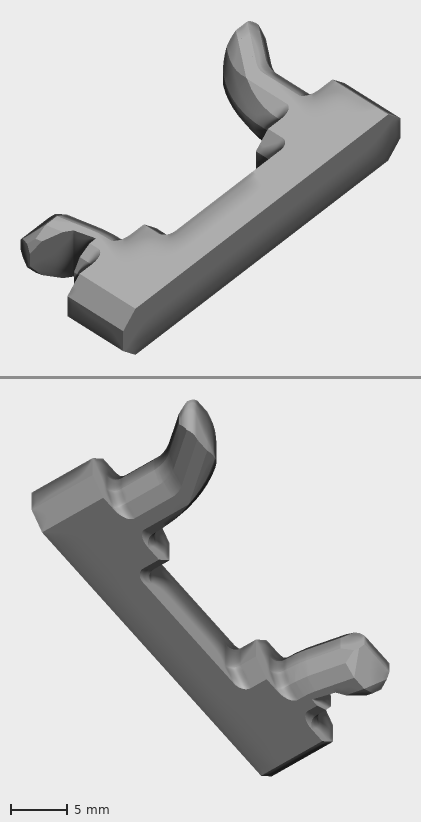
import cadquery as cq
import math

LENGTH = 36.8
THICKNESS = 5.7
BODY_DEPTH = 6.7
END_CHAMFER = 1.62
NOTCH_DEPTH = 2.65
NOTCH_LENGTH = 13.25
ROOT_RADIUS = 0.92
ROOT_LENGTH = 0.95

ROD_SIDES = 12
FACE_STEP = 360 / ROD_SIDES
FIRST_FACE_TURN = 60


HOOK_REACH = 10.6
HOOK_BEND_X = -5.78
HOOK_SLOPE = 0.82
HOOK_UPPER_RADII = {0: 3.68, 30: 3.68, 60: 3.68}
HOOK_LOWER_RADII = {0: 11.78, 30: 15.1}
HOOK_TIP_RADIUS = 0.92
HOOK_BACK_RADIUS = 4.4

CATCH_REACH = 8.4
CATCH_BEND_X = -2.17
CATCH_SLOPE = -0.21
CATCH_UPPER_RADII = {0: 11.05, 30: 11.05, 60: 11.05}
CATCH_LOWER_RADII = {}
CATCH_TAPER = 1.95
CATCH_TIP_HALF_WIDTHS = {0: 1.9, 60: 1.8, -60: 1.8, 90: 0.63}
STUB_LENGTH = 1.95
GAP_TOP_Y = -12.45
GAP_KNEE = (-4.12, -13.03)

HALF_LENGTH = LENGTH / 2
HALF_THICKNESS = THICKNESS / 2
POST_Y = (HALF_LENGTH + NOTCH_LENGTH / 2) / 2
POST_HALF_LENGTH = (HALF_LENGTH - NOTCH_LENGTH / 2) / 2
DIAGONAL = math.sqrt(0.5)
ARM_OVERRUN = 5.52


def across_plane(angle):
    """Sketch plane through the X axis; its second axis is Y turned by angle about X."""
    turn = math.radians(angle)
    return cq.Plane((0, 0, 0), (1, 0, 0), (0, -math.sin(turn), math.cos(turn)))


def flared_slab(half_width, angle, root_x, front_x):
    """Slab centred on the X axis whose two sides flare out into the wall at root_x."""
    wide = half_width + ROOT_RADIUS
    flare_x = root_x - ROOT_RADIUS
    mid = ROOT_RADIUS * DIAGONAL
    sketch = (
        cq.Workplane(across_plane(angle))
        .moveTo(front_x, half_width)
        .lineTo(flare_x, half_width)
        .threePointArc((flare_x + mid, wide - mid), (root_x, wide))
        .lineTo(root_x, -wide)
        .threePointArc((flare_x + mid, mid - wide), (flare_x, -half_width))
        .lineTo(front_x, -half_width)
        .close()
    )
    return sketch.extrude(LENGTH, both=True)


def bent_slab(angle, bend_x, slope, top_radius, bottom_radius, front_x):
    """Slab with parallel sides that changes direction at bend_x, rounded on each side."""
    half = HALF_THICKNESS
    sideways = math.cos(math.radians(angle))
    rise = slope * sideways * (bend_x - front_x)
    slab = (
        cq.Workplane(across_plane(angle))
        .polyline([
            (BODY_DEPTH, half), (bend_x, half), (front_x, half + rise),
            (front_x, rise - half), (bend_x, -half), (BODY_DEPTH, -half),
        ])
        .close()
        .extrude(LENGTH, both=True)
    )
    normal = cq.Vector(0, sideways, math.sin(math.radians(angle)))
    for side, radius in ((half, top_radius), (-half, bottom_radius)):
        if radius:
            spot = normal * side + cq.Vector(bend_x, 0, 0)
            slab = slab.edges(cq.NearestToPointSelector(spot.toTuple())).fillet(radius)
    return slab


def tapered_slab(angle, tip_half_width, tip_x, taper_x):
    """Slab that is as wide as the rod at taper_x and narrows steadily to its tip."""
    spread = (HALF_THICKNESS - tip_half_width) / (taper_x - tip_x)
    root_half_width = tip_half_width - spread * tip_x
    return (
        cq.Workplane(across_plane(angle))
        .polyline([
            (tip_x, tip_half_width), (0, root_half_width),
            (0, -root_half_width), (tip_x, -tip_half_width),
        ])
        .close()
        .extrude(LENGTH, both=True)
    )


def rod(centre_y, bend_x, slope, upper_radii, lower_radii, front_x):
    """Twelve-sided rod with a flared root, standing on the X = 0 face."""
    solid = cq.Workplane("XY").box(LENGTH, LENGTH, THICKNESS)
    for step in range(ROD_SIDES // 2):
        angle = FACE_STEP * step - FIRST_FACE_TURN
        turn = abs(angle)
        straight = flared_slab(HALF_THICKNESS, angle, 0, -ROOT_LENGTH)
        bent = bent_slab(angle, bend_x, slope, upper_radii.get(turn), lower_radii.get(turn), front_x)
        solid = solid.intersect(straight.union(bent))
    return solid.translate((0, centre_y, 0))


def post(centre_y):
    """End block with 45 degree edges, flared into the floor of the notch."""
    bevel_distance = (POST_HALF_LENGTH + HALF_THICKNESS - END_CHAMFER) * DIAGONAL
    solid = flared_slab(POST_HALF_LENGTH, 0, NOTCH_DEPTH, 0)
    for angle in (45, -45):
        solid = solid.intersect(flared_slab(bevel_distance, angle, NOTCH_DEPTH, 0))
    return solid.translate((0, centre_y, 0))


def body():
    """Bar with bevelled ends and a notch between its two posts."""
    envelope = (
        cq.Workplane("XY")
        .box(BODY_DEPTH, LENGTH, THICKNESS, centered=(False, True, True))
        .edges("|X")
        .chamfer(END_CHAMFER)
    )
    plate = (
        cq.Workplane("XY", origin=(NOTCH_DEPTH, 0, 0))
        .box(BODY_DEPTH - NOTCH_DEPTH, LENGTH, THICKNESS, centered=(False, True, True))
    )
    blank = plate.union(post(POST_Y)).union(post(-POST_Y))
    return envelope.intersect(blank)


def hook():
    """Long arm that bends towards +Y and ends in a rounded tip."""
    lean = math.atan(HOOK_SLOPE)
    tip_x = HOOK_TIP_RADIUS - HOOK_REACH
    back_x = HOOK_BACK_RADIUS - HOOK_REACH
    upper_side_y = POST_Y + HALF_THICKNESS + HOOK_SLOPE * (HOOK_BEND_X - tip_x)
    lower_side_y = POST_Y - HALF_THICKNESS + HOOK_SLOPE * (HOOK_BEND_X - back_x)
    tip_y = upper_side_y - HOOK_TIP_RADIUS / math.cos(lean)
    back_y = lower_side_y + HOOK_BACK_RADIUS / math.cos(lean)

    def on_back(angle):
        return (back_x - HOOK_BACK_RADIUS * math.cos(angle), back_y - HOOK_BACK_RADIUS * math.sin(angle))

    back_sweep = math.pi / 2 - lean
    back_end = on_back(back_sweep)
    trim = (
        cq.Workplane("XY", origin=(0, 0, -HALF_THICKNESS))
        .moveTo(*back_end)
        .threePointArc(on_back(back_sweep / 2), on_back(0))
        .lineTo(-HOOK_REACH, tip_y)
        .threePointArc(
            (tip_x - HOOK_TIP_RADIUS * DIAGONAL, tip_y + HOOK_TIP_RADIUS * DIAGONAL),
            (tip_x, tip_y + HOOK_TIP_RADIUS),
        )
        .lineTo(BODY_DEPTH, tip_y + HOOK_TIP_RADIUS)
        .lineTo(BODY_DEPTH, 0)
        .lineTo(back_end[0], 0)
        .close()
        .extrude(THICKNESS)
    )
    front_x = -HOOK_REACH - ARM_OVERRUN
    arm = rod(POST_Y, HOOK_BEND_X, HOOK_SLOPE, HOOK_UPPER_RADII, HOOK_LOWER_RADII, front_x)
    return arm.intersect(trim)


def catch():
    """Short arm with a tapered tip, cut away below so that a stub remains at its root."""
    front_x = -CATCH_REACH - ARM_OVERRUN
    arm = rod(-POST_Y, CATCH_BEND_X, CATCH_SLOPE, CATCH_UPPER_RADII, CATCH_LOWER_RADII, front_x)
    taper_x = CATCH_TAPER - CATCH_REACH
    drop = CATCH_SLOPE * (CATCH_BEND_X - taper_x)
    centre_y = drop - POST_Y
    for angle, tip_half_width in CATCH_TIP_HALF_WIDTHS.items():
        taper = tapered_slab(angle, tip_half_width, -CATCH_REACH, taper_x)
        arm = arm.intersect(taper.translate((0, centre_y, 0)))
    gap = (
        cq.Workplane("XY")
        .polyline([
            (-STUB_LENGTH, -LENGTH), (-STUB_LENGTH, GAP_TOP_Y), GAP_KNEE,
            (taper_x, centre_y - HALF_THICKNESS), (taper_x, -LENGTH),
        ])
        .close()
        .extrude(LENGTH, both=True)
    )
    return arm.cut(gap)


result = body().union(hook()).union(catch())